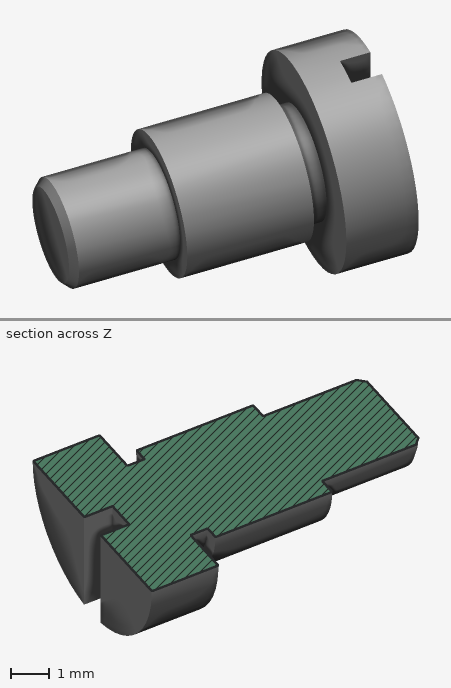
import cadquery as cq

total_length = 9.0
head_diameter = 6.0
head_length = 2.0
neck_diameter = 3.2
neck_length = 0.5
shoulder_diameter = 4.0
shoulder_length = 3.5
shank_diameter = 3.0
tip_chamfer = 0.2
slot_width = 0.82
slot_depth = 0.85

head_start = total_length - head_length
neck_start = head_start - neck_length
shoulder_start = neck_start - shoulder_length


def cylinder_along_y(diameter, start, end):
    """Solid cylinder on the Y axis between two stations."""
    base = cq.Workplane("XZ", origin=(0, start, 0))
    return base.circle(diameter / 2).extrude(start - end)


shank = cylinder_along_y(shank_diameter, 0, shoulder_start).faces("<Y").chamfer(tip_chamfer)
shoulder = cylinder_along_y(shoulder_diameter, shoulder_start, neck_start)
neck = cylinder_along_y(neck_diameter, neck_start, head_start)
head = cylinder_along_y(head_diameter, head_start, total_length)

slot = cq.Workplane("XY").box(slot_width, slot_depth, head_diameter)
slot = slot.translate((0, total_length - slot_depth / 2, 0))

result = shank.union(shoulder).union(neck).union(head).cut(slot)